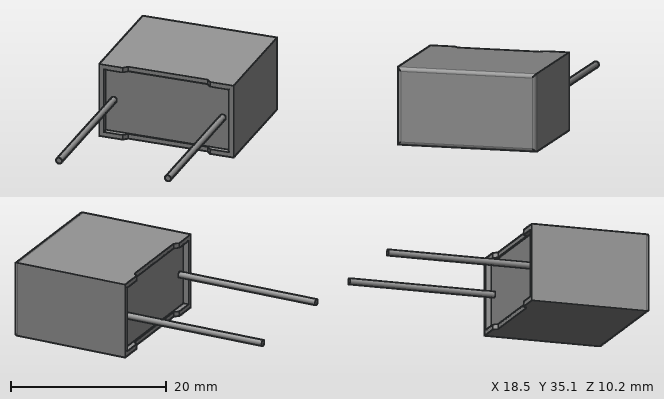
import cadquery as cq

total_length = 35.1
case_width = 18.5
case_height = 10.2
case_length = 16.08
wall = 0.65
back_edge_radius = 0.5

notch_width = 12.05
notch_depth = 0.55

fill_setback = 0.75

lead_diameter = 0.85
lead_spacing = 15.0

lead_tip_y = case_length - total_length
cavity_width = case_width - 2 * wall
cavity_height = case_height - 2 * wall
cavity_depth = case_length - wall


def block(width, height, start_y, end_y):
    """Block centred on the Y axis, from start_y to end_y."""
    return (
        cq.Workplane("XY")
        .box(width, end_y - start_y, height, centered=(True, False, True))
        .translate((0, start_y, 0))
    )


def make_notch_cutter():
    """Trapezoid that cuts through the top and bottom walls."""
    half_mouth = notch_width / 2
    half_floor = half_mouth - notch_depth
    return (
        cq.Workplane("XY")
        .polyline([
            (-half_mouth, 0),
            (half_mouth, 0),
            (half_floor, notch_depth),
            (-half_floor, notch_depth),
        ])
        .close()
        .extrude(case_height / 2, both=True)
    )


def make_case():
    """Open box with rounded edges around its closed end."""
    shell = block(case_width, case_height, 0, case_length)
    shell = shell.faces(">Y").edges().fillet(back_edge_radius)
    cavity = block(cavity_width, cavity_height, 0, cavity_depth)
    return shell.cut(cavity).cut(make_notch_cutter())


def make_fill():
    """Resin block that fills the cavity behind the setback."""
    return block(cavity_width, cavity_height, fill_setback, cavity_depth)


def make_lead(x):
    """Round wire from the face of the fill to the lead tip."""
    return (
        cq.Workplane("XZ", origin=(x, fill_setback, 0))
        .circle(lead_diameter / 2)
        .extrude(fill_setback - lead_tip_y)
    )


case = make_case()
fill = make_fill()
leads = [make_lead(side * lead_spacing / 2) for side in (-1, 1)]

result = cq.Compound.makeCompound([
    case.val(),
    fill.val(),
    *[lead.val() for lead in leads],
])